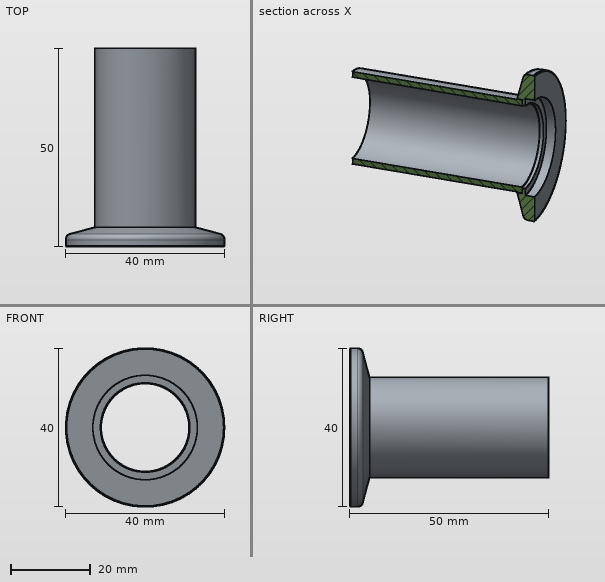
import cadquery as cq
import math

overall_length = 50.0

flange_diameter = 40.0
rim_height = 3.0
back_cone_angle = 15.0
rim_fillet = 1.5
face_chamfer = 0.25
recess_diameter = 26.3
recess_depth = 2.5
flange_bore = 22.5
lip_thickness = 1.0

tube_diameter = 25.4
tube_bore = 22.1

tube_radius = tube_diameter / 2
flange_radius = flange_diameter / 2
tube_start = recess_depth + lip_thickness
cone_rise = (flange_radius - tube_radius) * math.tan(math.radians(back_cone_angle))
flange_thickness = rim_height + cone_rise


def rounded_rim_points():
    """Start, middle and end of the arc that joins the rim to the back cone."""
    slope = math.radians(back_cone_angle)
    cone_normal_angle = math.pi / 2 - slope
    centre_x = flange_radius - rim_fillet
    centre_y = rim_height - rim_fillet * math.tan(cone_normal_angle / 2)

    def arc_point(angle):
        return (centre_x + rim_fillet * math.cos(angle), centre_y + rim_fillet * math.sin(angle))

    return arc_point(0), arc_point(cone_normal_angle / 2), arc_point(cone_normal_angle)


def make_flange():
    """Clamp flange with a recessed face, and a socket at the back that holds the tube."""
    rim_end, arc_middle, cone_start = rounded_rim_points()
    profile = (
        cq.Workplane("XY")
        .moveTo(recess_diameter / 2, 0)
        .lineTo(flange_radius - face_chamfer, 0)
        .lineTo(flange_radius, face_chamfer)
        .lineTo(*rim_end)
        .threePointArc(arc_middle, cone_start)
        .lineTo(tube_radius, flange_thickness)
        .lineTo(tube_radius, tube_start)
        .lineTo(flange_bore / 2, tube_start)
        .lineTo(flange_bore / 2, recess_depth)
        .lineTo(recess_diameter / 2, recess_depth)
        .close()
    )
    return profile.revolve(360, (0, 0, 0), (0, 1, 0))


def make_tube():
    """Plain tube seated on the lip at the bottom of the flange socket."""
    profile = (
        cq.Workplane("XY")
        .moveTo(tube_bore / 2, tube_start)
        .lineTo(tube_radius, tube_start)
        .lineTo(tube_radius, overall_length)
        .lineTo(tube_bore / 2, overall_length)
        .close()
    )
    return profile.revolve(360, (0, 0, 0), (0, 1, 0))


flange = make_flange()
tube = make_tube()

result = cq.Compound.makeCompound([flange.val(), tube.val()])